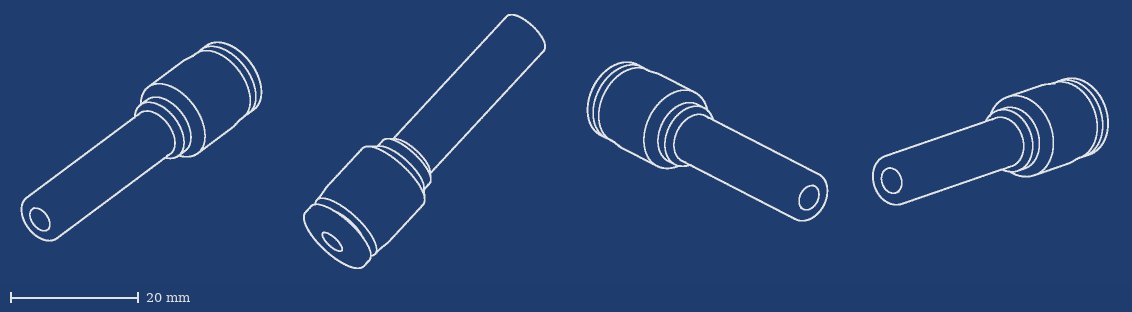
import cadquery as cq

overall_length = 48.0

stem_radius = 4.0
bore_radius = 2.0
tip_fillet = 0.5

shoulder_radius = 5.0
shoulder_start = 28.7
shoulder_chamfer_length = 1.0
shoulder_end = 31.45

body_radius = 6.505
body_cone_length = 1.65
body_straight_end = 41.75
body_taper_end = 43.8
body_rim_start = 44.65
body_end = 44.95
body_rim_radius = 6.25
body_face_radius = 5.0

neck_radius = 3.95
neck_fillet = 0.3
collar_start = 46.05
collar_radius = 6.25
collar_face_radius = 4.1
collar_rim_end = 47.4
collar_rim_fillet = 0.2


def plug_profile():
    """Half outline (radius, Y) of the turned solid, with Y = 0 at the tip."""
    collar_rim_arc_end = (collar_radius - collar_rim_fillet, collar_rim_end + collar_rim_fillet)
    return (
        cq.Workplane("XY")
        .moveTo(0, 0)
        .lineTo(stem_radius - tip_fillet, 0)
        .radiusArc((stem_radius, tip_fillet), -tip_fillet)
        .lineTo(stem_radius, shoulder_start)
        .lineTo(shoulder_radius, shoulder_start + shoulder_chamfer_length)
        .lineTo(shoulder_radius, shoulder_end)
        .lineTo(body_radius, shoulder_end + body_cone_length)
        .lineTo(body_radius, body_straight_end)
        .lineTo(body_rim_radius, body_taper_end)
        .lineTo(body_rim_radius, body_rim_start)
        .lineTo(body_face_radius, body_end)
        .lineTo(neck_radius, body_end)
        .lineTo(neck_radius, collar_start - neck_fillet)
        .radiusArc((neck_radius + neck_fillet, collar_start), neck_fillet)
        .lineTo(collar_radius, collar_start)
        .lineTo(collar_radius, collar_rim_end)
        .radiusArc(collar_rim_arc_end, -collar_rim_fillet)
        .lineTo(collar_face_radius, overall_length)
        .lineTo(0, overall_length)
        .close()
    )


def through_bore():
    """Straight bore running the whole length along Y."""
    return cq.Workplane("XZ").circle(bore_radius).extrude(-overall_length)


solid = plug_profile().revolve(360, (0, 0, 0), (0, 1, 0)).cut(through_bore())

result = solid.translate((0, -overall_length / 2, 0))